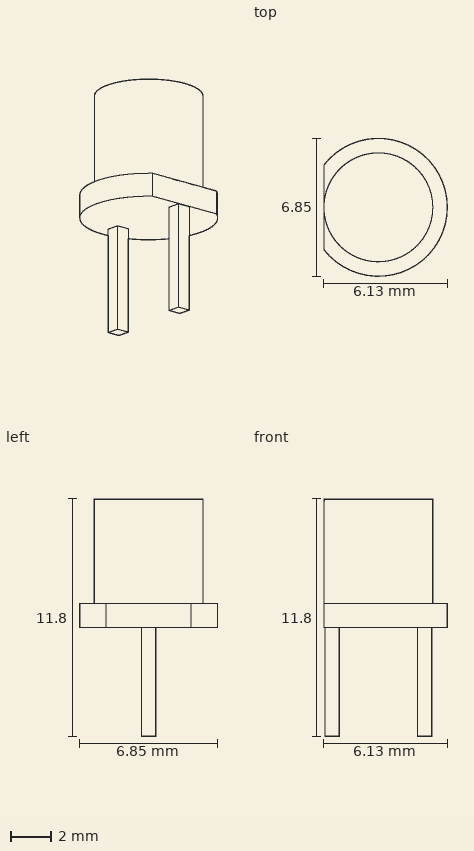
import cadquery as cq

total_height = 11.76
lead_length = 5.4
flange_thickness = 1.2
body_height = total_height - lead_length - flange_thickness

flange_diameter = 6.85
body_diameter = 5.4
flat_distance = body_diameter / 2

lead_width = 0.72
lead_pitch = 4.59


def make_flange():
    """Round flange resting on Z = 0, cut flat on its -X side."""
    disc = cq.Workplane("XY").circle(flange_diameter / 2).extrude(flange_thickness)
    keep_region = (
        cq.Workplane("XY")
        .center(-flat_distance + flange_diameter / 2, 0)
        .rect(flange_diameter, flange_diameter)
        .extrude(flange_thickness)
    )
    return disc.intersect(keep_region)


def make_body():
    """Plain cylinder standing on the flange."""
    return (
        cq.Workplane("XY")
        .workplane(offset=flange_thickness)
        .circle(body_diameter / 2)
        .extrude(body_height)
    )


def make_leads():
    """Two square leads hanging below the flange."""
    return (
        cq.Workplane("XY")
        .pushPoints([(side * lead_pitch / 2, 0) for side in (-1, 1)])
        .rect(lead_width, lead_width)
        .extrude(-lead_length)
    )


result = make_flange().union(make_body()).union(make_leads())